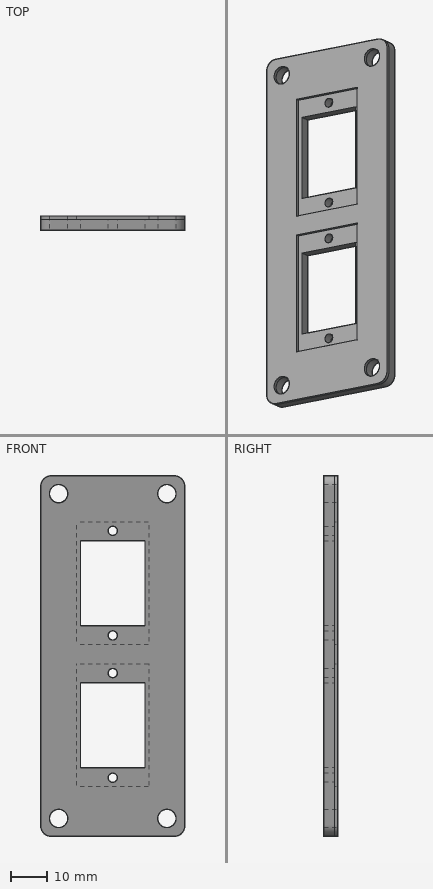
import cadquery as cq

WIDTH = 40.0
HEIGHT = 100.0
TOTAL_THICKNESS = 4.0
SHEET_THICKNESS = 1.0
PANEL_THICKNESS = TOTAL_THICKNESS - SHEET_THICKNESS
CORNER_RADIUS = 3.0

MOUNT_DIAMETER = 5.0
MOUNT_INSET = 5.0

CUTOUT_WIDTH = 17.8
CUTOUT_HEIGHT = 23.5
CUTOUT_CENTERS_Z = (-19.2, 20.2)
SCREW_DIAMETER = 2.5
SCREW_SPACING = 29.0

WINDOW_MARGIN = 1.2
WINDOW_WIDTH = CUTOUT_WIDTH + 2 * WINDOW_MARGIN
WINDOW_HEIGHT = SCREW_SPACING + SCREW_DIAMETER + 2 * WINDOW_MARGIN


def plane_at(y):
    """XZ workplane at y; its normal is -Y, so extruding toward +Y is negative."""
    return cq.Workplane("XZ").workplane(offset=-y)


def mounting_plate(front_y, thickness):
    """Rounded plate with corner holes, from front_y toward +Y."""
    base = plane_at(front_y)
    plate = base.rect(WIDTH, HEIGHT).extrude(-thickness)
    plate = plate.edges("|Y").fillet(CORNER_RADIUS)
    mount_holes = (
        base.rect(WIDTH - 2 * MOUNT_INSET, HEIGHT - 2 * MOUNT_INSET, forConstruction=True)
        .vertices()
        .circle(MOUNT_DIAMETER / 2)
        .extrude(-thickness)
    )
    return plate.cut(mount_holes)


def cut_windows(plate, front_y, thickness, width, height):
    """Cut one rectangular opening at each connector position."""
    centers = [(0, z) for z in CUTOUT_CENTERS_Z]
    windows = plane_at(front_y).pushPoints(centers).rect(width, height).extrude(-thickness)
    return plate.cut(windows)


def make_front_panel():
    """Panel with the connector cutouts and their screw holes."""
    panel = mounting_plate(0, PANEL_THICKNESS)
    panel = cut_windows(panel, 0, PANEL_THICKNESS, CUTOUT_WIDTH, CUTOUT_HEIGHT)
    screw_centers = [
        (0, center_z + side * SCREW_SPACING / 2)
        for center_z in CUTOUT_CENTERS_Z
        for side in (-1, 1)
    ]
    screw_holes = (
        plane_at(0).pushPoints(screw_centers).circle(SCREW_DIAMETER / 2).extrude(-PANEL_THICKNESS)
    )
    return panel.cut(screw_holes)


def make_back_sheet():
    """Thin sheet against the back of the panel, with the larger windows."""
    sheet = mounting_plate(PANEL_THICKNESS, SHEET_THICKNESS)
    return cut_windows(sheet, PANEL_THICKNESS, SHEET_THICKNESS, WINDOW_WIDTH, WINDOW_HEIGHT)


front_panel = make_front_panel()
back_sheet = make_back_sheet()

result = cq.Compound.makeCompound([front_panel.val(), back_sheet.val()])